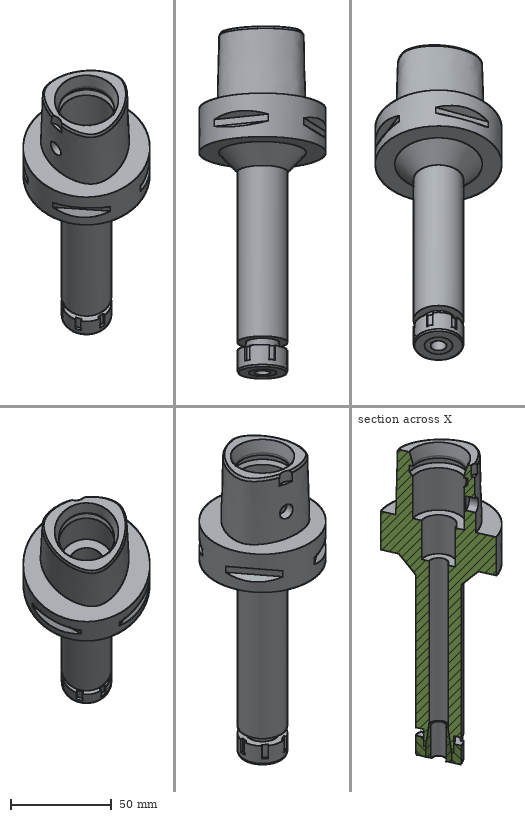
import cadquery as cq
import math


TOTAL_HEIGHT = 173.0
FLANGE_TOP = 135.3
FLANGE_BOTTOM = 113.0
CONE_BOTTOM = 103.1
STEM_BOTTOM = 15.5
NUT_TOP = 11.2
NOSE_BOTTOM = 5.9
COLLET_TOP = 19.7

FLANGE_DIAMETER = 63.0
CONE_TOP_DIAMETER = 43.5
STEM_DIAMETER = 24.9
NECK_DIAMETER = 16.6

SHANK_BASE_RADIUS = 22.0
LOBE_COUNT = 3
LOBE_HEIGHT = 1.47
OUTLINE_POINTS = 36
TAPER_PER_SIDE = 1 / 40
TIP_CHAMFER_HEIGHT = 1.4
TIP_CHAMFER_INSET = 0.9

BORE_DIAMETER = 27.7
ENTRY_DIAMETER = 31.7
ENTRY_DEPTH = 6.4
LAND_HEIGHT = 1.5
GROOVE_DIAMETER = 31.5
GROOVE_HEIGHT = 3.6
BORE_BOTTOM = FLANGE_TOP
STEP_BORE_DIAMETER = 18.2
STEP_BORE_BOTTOM = FLANGE_BOTTOM
CHANNEL_DIAMETER = 10.0

NOTCH_RADIUS = 5.5
NOTCH_AXIS_OFFSET = 23.4
NOTCH_DEPTH = 6.2
SIDE_HOLE_DIAMETER = 8.0
SIDE_HOLE_HEIGHT = 150.7
SIDE_HOLE_FLOOR_DISTANCE = 14.9

SLOT_COUNT = 4
SLOT_FLOOR_DISTANCE = 28.0
SLOT_FLOOR_WIDTH = 3.5
SLOT_MOUTH_WIDTH = 7.8
SLOT_HEIGHT = 122.8

NUT_DIAMETER = STEM_DIAMETER
NUT_CHAMFER_HEIGHT = 1.0
NUT_CHAMFER_INSET = 0.5
SPANNER_SLOT_COUNT = 6
SPANNER_SLOT_WIDTH = 3.1
SPANNER_SLOT_LENGTH = 7.5
SPANNER_SLOT_DEPTH = 1.4

COLLET_ANGLE = 8
COLLET_BORE_DIAMETER = 8.0
COLLET_SEAT_LENGTH = COLLET_TOP - NOSE_BOTTOM
COLLET_HEAD_RADIUS = CHANNEL_DIAMETER / 2 + COLLET_SEAT_LENGTH * math.tan(math.radians(COLLET_ANGLE))


def revolved(profile):
    """Solid turned about Z from a list of (radius, height) points."""
    return cq.Workplane("XZ").polyline(profile).close().revolve(360, (0, 0), (0, 1))


def lobed_outline(mean_radius, height):
    """Closed curve with evenly spaced lobes, given by the distance of its tangents from the axis.

    reach is that distance and slope its rate of change with angle, so a change of mean_radius
    gives a parallel curve.
    """

    def point(index):
        angle = 2 * math.pi * index / OUTLINE_POINTS - math.pi / 2
        lobe_phase = LOBE_COUNT * (angle - math.pi / 2)
        reach = mean_radius + LOBE_HEIGHT * math.cos(lobe_phase)
        slope = -LOBE_COUNT * LOBE_HEIGHT * math.sin(lobe_phase)
        return cq.Vector(
            reach * math.cos(angle) - slope * math.sin(angle),
            reach * math.sin(angle) + slope * math.cos(angle),
            height,
        )

    points = [point(index) for index in range(OUTLINE_POINTS)]
    return cq.Wire.assembleEdges([cq.Edge.makeSpline(points, periodic=True)])


def lobed_frustum(bottom_radius, bottom, top_radius, top):
    """Straight-ruled solid between two parallel lobed outlines."""
    outlines = [lobed_outline(bottom_radius, bottom), lobed_outline(top_radius, top)]
    return cq.Workplane(cq.Solid.makeLoft(outlines, True))


def make_shank():
    """Tapered polygon shank with a chamfered tip."""
    chamfer_bottom = TOTAL_HEIGHT - TIP_CHAMFER_HEIGHT
    tip_radius = SHANK_BASE_RADIUS - TAPER_PER_SIDE * (chamfer_bottom - FLANGE_TOP)
    taper = lobed_frustum(SHANK_BASE_RADIUS, FLANGE_TOP, tip_radius, chamfer_bottom)
    chamfer = lobed_frustum(tip_radius, chamfer_bottom, tip_radius - TIP_CHAMFER_INSET, TOTAL_HEIGHT)
    return taper.union(chamfer)


def make_stem():
    """Flange, cone, stem and neck as one turned piece."""
    return revolved([
        (0, FLANGE_TOP),
        (FLANGE_DIAMETER / 2, FLANGE_TOP),
        (FLANGE_DIAMETER / 2, FLANGE_BOTTOM),
        (CONE_TOP_DIAMETER / 2, FLANGE_BOTTOM),
        (STEM_DIAMETER / 2, CONE_BOTTOM),
        (STEM_DIAMETER / 2, STEM_BOTTOM),
        (NECK_DIAMETER / 2, STEM_BOTTOM),
        (NECK_DIAMETER / 2, NOSE_BOTTOM),
        (0, NOSE_BOTTOM),
    ])


def make_holder_bore():
    """Everything bored along the axis, from the drawbar entry to the collet seat."""
    bore_radius = BORE_DIAMETER / 2
    groove_radius = GROOVE_DIAMETER / 2
    entry_bottom = TOTAL_HEIGHT - ENTRY_DEPTH
    groove_top = entry_bottom - LAND_HEIGHT
    groove_bottom = groove_top - GROOVE_HEIGHT
    return revolved([
        (0, TOTAL_HEIGHT),
        (ENTRY_DIAMETER / 2, TOTAL_HEIGHT),
        (bore_radius, entry_bottom),
        (bore_radius, groove_top),
        (groove_radius, groove_top),
        (groove_radius, groove_bottom),
        (bore_radius, groove_bottom - (groove_radius - bore_radius)),
        (bore_radius, BORE_BOTTOM),
        (STEP_BORE_DIAMETER / 2, BORE_BOTTOM),
        (STEP_BORE_DIAMETER / 2, STEP_BORE_BOTTOM),
        (CHANNEL_DIAMETER / 2, STEP_BORE_BOTTOM),
        (CHANNEL_DIAMETER / 2, COLLET_TOP),
        (COLLET_HEAD_RADIUS, NOSE_BOTTOM),
        (0, NOSE_BOTTOM),
    ])


def make_key_notch():
    """Round-bottomed notch at the tip of the shank, on its -Y side."""
    return (
        cq.Workplane("XY")
        .workplane(offset=TOTAL_HEIGHT - NOTCH_DEPTH)
        .center(0, -NOTCH_AXIS_OFFSET)
        .circle(NOTCH_RADIUS)
        .extrude(NOTCH_DEPTH)
    )


def make_side_hole():
    """Flat-bottomed radial hole in the -Y side, stopping short of the main bore."""
    return (
        cq.Workplane("XZ")
        .workplane(offset=SIDE_HOLE_FLOOR_DISTANCE)
        .center(0, SIDE_HOLE_HEIGHT)
        .circle(SIDE_HOLE_DIAMETER / 2)
        .extrude(FLANGE_DIAMETER / 2 - SIDE_HOLE_FLOOR_DISTANCE)
    )


def make_gripper_slot(angle):
    """Straight slot with a flat floor and flared sides, facing the given direction."""
    mouth_distance = FLANGE_DIAMETER / 2
    floor_half = SLOT_FLOOR_WIDTH / 2
    mouth_half = SLOT_MOUTH_WIDTH / 2
    return (
        cq.Workplane("XZ")
        .polyline([
            (SLOT_FLOOR_DISTANCE, SLOT_HEIGHT - floor_half),
            (mouth_distance, SLOT_HEIGHT - mouth_half),
            (mouth_distance, SLOT_HEIGHT + mouth_half),
            (SLOT_FLOOR_DISTANCE, SLOT_HEIGHT + floor_half),
        ])
        .close()
        .extrude(FLANGE_DIAMETER / 2, both=True)
        .rotate((0, 0, 0), (0, 0, 1), angle)
    )


def make_holder():
    """Shank, flange and stem in one piece, with all their recesses."""
    holder = make_stem().union(make_shank())
    holder = holder.cut(make_holder_bore()).cut(make_key_notch()).cut(make_side_hole())
    slot_pitch = 360 / SLOT_COUNT
    first_slot_angle = slot_pitch / 2
    for index in range(SLOT_COUNT):
        holder = holder.cut(make_gripper_slot(first_slot_angle + index * slot_pitch))
    return holder


def make_spanner_slot(angle):
    """Slot down the side of the nut, open at its top face."""
    outer = NUT_DIAMETER / 2
    return (
        cq.Workplane("XY")
        .box(2 * SPANNER_SLOT_DEPTH, SPANNER_SLOT_WIDTH, SPANNER_SLOT_LENGTH)
        .translate((outer, 0, NUT_TOP - SPANNER_SLOT_LENGTH / 2))
        .rotate((0, 0, 0), (0, 0, 1), angle)
    )


def make_nut():
    """Slotted ring around the neck, with a lip around the collet head."""
    outer = NUT_DIAMETER / 2
    nut = revolved([
        (COLLET_HEAD_RADIUS, 0),
        (outer - NUT_CHAMFER_INSET, 0),
        (outer, NUT_CHAMFER_HEIGHT),
        (outer, NUT_TOP),
        (NECK_DIAMETER / 2, NUT_TOP),
        (NECK_DIAMETER / 2, NOSE_BOTTOM),
        (COLLET_HEAD_RADIUS, NOSE_BOTTOM),
    ])
    slot_pitch = 360 / SPANNER_SLOT_COUNT
    for index in range(SPANNER_SLOT_COUNT):
        nut = nut.cut(make_spanner_slot(index * slot_pitch))
    return nut


def make_collet():
    """Tapered sleeve seated in the nose, with a straight head through the nut."""
    bore_radius = COLLET_BORE_DIAMETER / 2
    return revolved([
        (bore_radius, 0),
        (COLLET_HEAD_RADIUS, 0),
        (COLLET_HEAD_RADIUS, NOSE_BOTTOM),
        (CHANNEL_DIAMETER / 2, COLLET_TOP),
        (bore_radius, COLLET_TOP),
    ])


holder = make_holder()
nut = make_nut()
collet = make_collet()
result = cq.Compound.makeCompound([holder.solids().val(), nut.solids().val(), collet.val()])